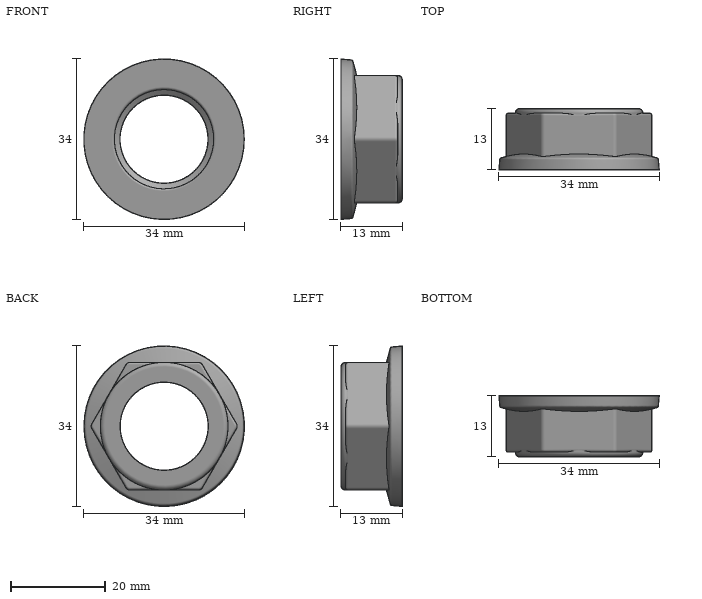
import cadquery as cq
import math

total_height = 13.0
bore_radius = 18.6 / 2

flange_radius = 17.0
rim_height = 2.48
rim_taper = math.radians(5)
cone_slope = math.radians(15)
rim_round = 0.5

hex_sides = 6
across_flats = 27.03
hex_top = 12.0
corner_round = 1.02
hex_top_round = 0.5
collar_round = 0.95

entry_radius = 21.0 / 2
lip_round = 0.5
entry_straight_depth = 1.0
bore_start = 1.75


def make_flange():
    shoulder_radius = flange_radius - rim_height * math.tan(rim_taper)
    apex_height = rim_height + shoulder_radius * math.tan(cone_slope)
    profile = (
        cq.Workplane("XY")
        .moveTo(0, 0)
        .lineTo(flange_radius, 0)
        .lineTo(shoulder_radius, rim_height)
        .lineTo(0, apex_height)
        .close()
    )
    flange = profile.revolve(360, (0, 0, 0), (0, 1, 0))
    edge_margin = 0.05
    shoulder = cq.selectors.BoxSelector(
        (-flange_radius, rim_height - edge_margin, -flange_radius),
        (flange_radius, rim_height + edge_margin, flange_radius),
        boundingbox=True,
    )
    return flange.edges(shoulder).fillet(rim_round)


def make_hexagon():
    across_corners = across_flats / math.cos(math.pi / hex_sides)
    return (
        cq.Workplane("XZ")
        .polygon(hex_sides, across_corners)
        .extrude(-hex_top)
        .edges("|Y")
        .fillet(corner_round)
        .faces(">Y")
        .edges()
        .fillet(hex_top_round)
    )


def make_collar():
    return (
        cq.Workplane("XZ")
        .circle(across_flats / 2)
        .extrude(-total_height)
        .faces(">Y")
        .edges()
        .fillet(collar_round)
    )


def make_bore():
    arc_offset = lip_round * (1 - math.sqrt(0.5))
    profile = (
        cq.Workplane("XY")
        .moveTo(0, 0)
        .lineTo(entry_radius + lip_round, 0)
        .threePointArc(
            (entry_radius + arc_offset, arc_offset),
            (entry_radius, lip_round),
        )
        .lineTo(entry_radius, entry_straight_depth)
        .lineTo(bore_radius, bore_start)
        .lineTo(bore_radius, total_height)
        .lineTo(0, total_height)
        .close()
    )
    return profile.revolve(360, (0, 0, 0), (0, 1, 0))


result = make_flange().union(make_hexagon()).union(make_collar()).cut(make_bore())